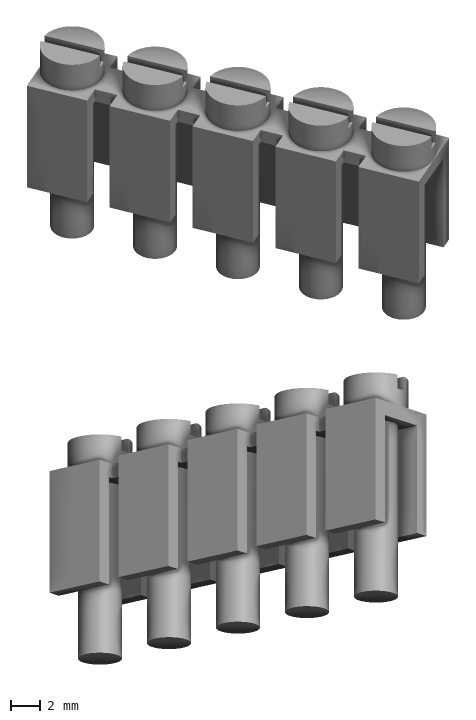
import cadquery as cq

clamp_count = 5
row_length = 29.15
clamp_length = 4.5
clamp_pitch = (row_length - clamp_length) / (clamp_count - 1)

clamp_width = 5.5
clamp_height = 8.7
wall_thickness = 1.02
bridge_width = 2.75

head_diameter = 4.45
head_height = 2.2
slot_width = 0.67
slot_depth = 1.0
shank_diameter = 3.03
shank_length = 13.2


def make_clamp():
    """Saddle centred on the origin, with its channel running along X."""
    block = cq.Workplane("XY").box(
        clamp_length, clamp_width, clamp_height, centered=(True, True, False)
    )
    channel = cq.Workplane("XY").box(
        clamp_length,
        clamp_width - 2 * wall_thickness,
        clamp_height - wall_thickness,
        centered=(True, True, False),
    )
    return block.cut(channel).translate((0, 0, -clamp_height))


def make_screw():
    """Screw with its head on the plane Z = 0 and a slot along X."""
    head = cq.Workplane("XY").circle(head_diameter / 2).extrude(head_height)
    slot = (
        cq.Workplane("XY")
        .box(head_diameter, slot_width, slot_depth, centered=(True, True, False))
        .translate((0, 0, head_height - slot_depth))
    )
    shank = cq.Workplane("XY").circle(shank_diameter / 2).extrude(-shank_length)
    return head.cut(slot).union(shank)


def make_bridge():
    """Flat strip that joins the tops of all the clamps."""
    bridge_length = (clamp_count - 1) * clamp_pitch
    return cq.Workplane("XY").rect(bridge_length, bridge_width).extrude(-wall_thickness)


clamp_with_screw = make_clamp().union(make_screw())

result = make_bridge()
for index in range(clamp_count):
    clamp_x = (index - (clamp_count - 1) / 2) * clamp_pitch
    result = result.union(clamp_with_screw.translate((clamp_x, 0, 0)))